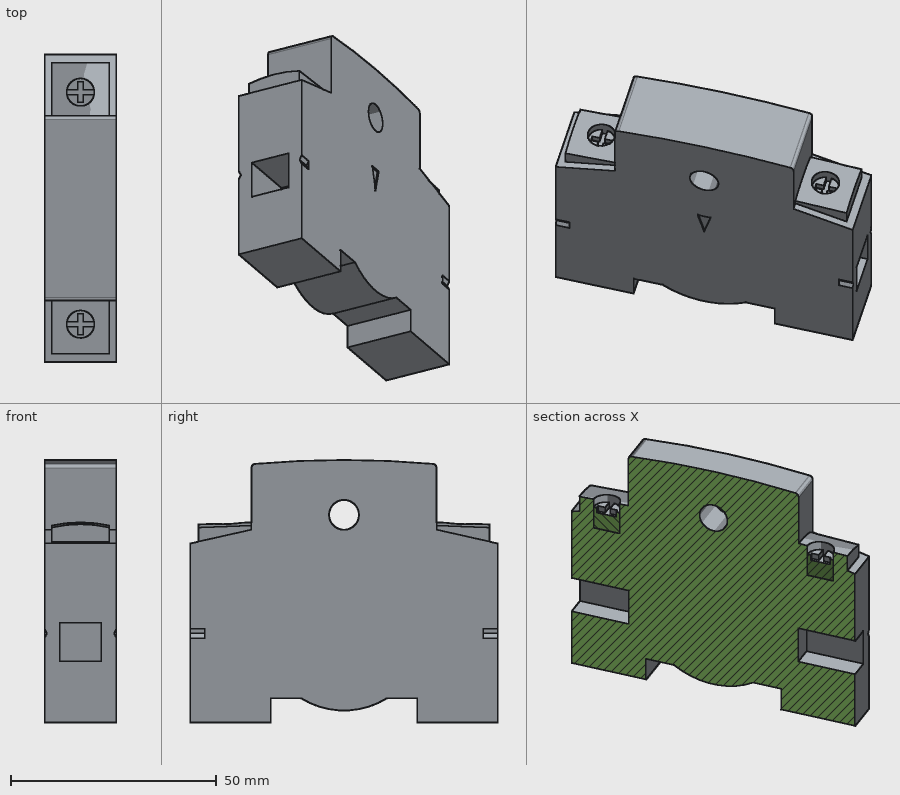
import cadquery as cq
import math


width = 17.5
length = 74.8
height = 63.87
half_length = length / 2
shoulder_outer_z = 43.55
shoulder_inner_z = 46.9

tower_half_length = 22.5
tower_top_radius = 245.0
tower_edge_fillet = 1.0
tower_top_sag = tower_top_radius - math.sqrt(tower_top_radius**2 - tower_half_length**2)
tower_corner_z = height - tower_top_sag

rail_half_length = 17.75
rail_depth = 5.9
bulge_half_length = 10.45
bulge_drop = 3.0

cross_hole_diameter = 7.2
cross_hole_z = 50.5
pointer_width = 3.3
pointer_top_z = 36.45
pointer_tip_z = 30.45
pointer_depth = 0.4

notch_length = 3.5
notch_z = 21.7
notch_height = 2.3
notch_depth = 0.6

opening_width = 10.2
opening_height = 9.4
opening_z = 19.6
opening_depth = 15.0

cover_width = 14.0
cover_end_margin = 2.0
cover_outer_y = half_length - cover_end_margin
cover_length = cover_outer_y - tower_half_length
cover_outer_side_z = 47.4
cover_inner_side_z = 47.9
cover_crown = 0.8
cover_embed = 1.0
cover_base_z = shoulder_outer_z - cover_embed

screw_diameter = 6.7
screw_y = 28.2
screw_top_z = 46.2
screw_length = 6.0
screw_slot_width = 1.3
screw_cross_slot_length = 5.0
screw_slot_depth = 1.5

ends = (-1, 1)


def housing_block():
    """Side outline extruded across the width, with rounded top edges."""
    block = (
        cq.Workplane("YZ", origin=(-width / 2, 0, 0))
        .moveTo(-half_length, 0)
        .lineTo(-half_length, shoulder_outer_z)
        .lineTo(-tower_half_length, shoulder_inner_z)
        .lineTo(-tower_half_length, tower_corner_z)
        .threePointArc((0, height), (tower_half_length, tower_corner_z))
        .lineTo(tower_half_length, shoulder_inner_z)
        .lineTo(half_length, shoulder_outer_z)
        .lineTo(half_length, 0)
        .lineTo(rail_half_length, 0)
        .lineTo(rail_half_length, rail_depth)
        .lineTo(bulge_half_length, rail_depth)
        .threePointArc((0, rail_depth - bulge_drop), (-bulge_half_length, rail_depth))
        .lineTo(-rail_half_length, rail_depth)
        .lineTo(-rail_half_length, 0)
        .close()
        .extrude(width)
    )
    top_edges = cq.selectors.BoxSelector(
        (-width, -length, tower_corner_z - tower_edge_fillet),
        (width, length, tower_corner_z + tower_edge_fillet / 2),
    )
    return block.edges("|X").edges(top_edges).fillet(tower_edge_fillet)


def terminal_cover(end):
    """Crowned cover lofted between its outer end and the centre block."""

    def cover_section(solid, side_z):
        return (
            solid.moveTo(-cover_width / 2, cover_base_z)
            .lineTo(-cover_width / 2, side_z)
            .threePointArc((0, side_z + cover_crown), (cover_width / 2, side_z))
            .lineTo(cover_width / 2, cover_base_z)
            .close()
        )

    outer = cover_section(cq.Workplane("XZ", origin=(0, -cover_outer_y, 0)), cover_outer_side_z)
    inner = cover_section(outer.workplane(offset=-cover_length), cover_inner_side_z)
    cover = inner.loft(ruled=True)
    return cover if end < 0 else cover.mirror("XZ")


def screw_cylinder(end, top_z):
    """Upright cylinder from the foot of a terminal screw up to top_z."""
    bottom_z = screw_top_z - screw_length
    return (
        cq.Workplane("XY", origin=(0, end * screw_y, bottom_z))
        .circle(screw_diameter / 2)
        .extrude(top_z - bottom_z)
    )


def wire_opening(end):
    """Rectangular pocket entering an end face."""
    return cq.Workplane("XY").box(opening_width, opening_depth, opening_height).translate(
        (0, end * (half_length - opening_depth / 2), opening_z)
    )


def side_notch(side, end):
    """Short V groove in a side face, open to an end face."""
    side_x = side * width / 2
    notch = (
        cq.Workplane("XZ", origin=(0, notch_length / 2, 0))
        .polyline([
            (side_x, notch_z - notch_height / 2),
            (side_x - side * notch_depth, notch_z),
            (side_x, notch_z + notch_height / 2),
        ])
        .close()
        .extrude(notch_length)
    )
    return notch.translate((0, end * (half_length - notch_length / 2), 0))


def pointer_mark():
    """Shallow downward-pointing triangle in the -X side."""
    return (
        cq.Workplane("YZ", origin=(-width / 2, 0, 0))
        .polyline([
            (-pointer_width / 2, pointer_top_z),
            (pointer_width / 2, pointer_top_z),
            (0, pointer_tip_z),
        ])
        .close()
        .extrude(pointer_depth)
    )


def cross_hole():
    """Round hole through the full width of the centre block."""
    return (
        cq.Workplane("YZ", origin=(-width / 2, 0, 0))
        .center(0, cross_hole_z)
        .circle(cross_hole_diameter / 2)
        .extrude(width)
    )


def make_housing():
    body = housing_block()
    for end in ends:
        body = body.union(terminal_cover(end))
        body = body.cut(screw_cylinder(end, height))
        body = body.cut(wire_opening(end))
        for side in (-1, 1):
            body = body.cut(side_notch(side, end))
    return body.cut(cross_hole()).cut(pointer_mark())


def make_screw(end):
    """Terminal screw with a full-width slot and a shorter crossing slot."""
    slot_z = screw_top_z - screw_slot_depth / 2
    full_slot = cq.Workplane("XY").box(screw_diameter, screw_slot_width, screw_slot_depth)
    cross_slot = cq.Workplane("XY").box(screw_slot_width, screw_cross_slot_length, screw_slot_depth)
    slots = full_slot.union(cross_slot).translate((0, end * screw_y, slot_z))
    return screw_cylinder(end, screw_top_z).cut(slots)


housing = make_housing()
screws = [make_screw(end) for end in ends]

result = cq.Compound.makeCompound([housing.val(), *[screw.val() for screw in screws]])